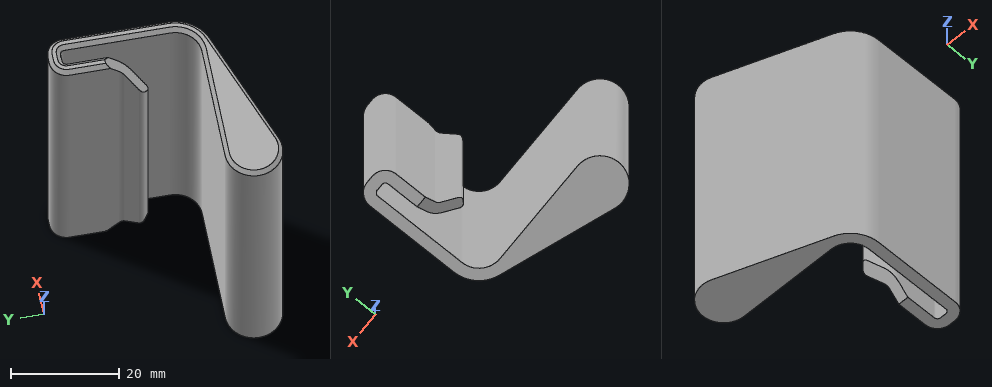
import cadquery as cq
import math

overall_width = 35.47
overall_depth = 39.01
height = 60.0

wall = 2.4
nose_radius = 5.4
bend_inner_radius = 5.0
rim_chamfer = 0.8

hook_gap = 3.0
hook_inner_radius = 0.8

lip_bend_radius = 1.4
lip_bend_y = 26.5
lip_length = 4.0
lip_tip_radius = 0.8
lip_corner_cut = 7.9

bend_outer_radius = bend_inner_radius + wall
hook_outer_radius = hook_inner_radius + wall
lip_bend_outer_radius = lip_bend_radius + wall

wall_inner_x = overall_width - wall
arm_inner_x = wall_inner_x - hook_gap
arm_outer_x = arm_inner_x - wall
handle_top_y = 2 * nose_radius
hook_inner_y = overall_depth - wall
hook_arc_y = overall_depth - hook_outer_radius

nose_center = (nose_radius, nose_radius)
bend_center = (overall_width - bend_outer_radius, handle_top_y + bend_inner_radius)
lip_center = (arm_outer_x - lip_bend_radius, lip_bend_y)
hook_left_center = (arm_outer_x + hook_outer_radius, hook_arc_y)
hook_right_center = (overall_width - hook_outer_radius, hook_arc_y)

center_dx = bend_center[0] - nose_center[0]
center_dy = bend_center[1] - nose_center[1]
radius_growth = bend_outer_radius - nose_radius
underside_angle = math.degrees(
    math.atan2(center_dy, center_dx) - math.asin(radius_growth / math.hypot(center_dx, center_dy))
)
underside_normal = underside_angle - 90
lip_angle = -45


def on_circle(center, radius, angle):
    """Point on a circle at an angle in degrees from +X."""
    return (
        center[0] + radius * math.cos(math.radians(angle)),
        center[1] + radius * math.sin(math.radians(angle)),
    )


def arc(sketch, center, radius, start, end):
    """Continue the outline along a circle from the start angle to the end angle."""
    return sketch.threePointArc(
        on_circle(center, radius, (start + end) / 2),
        on_circle(center, radius, end),
    )


def lip_end(radius):
    """Square lip corner on the side that bends at the given radius."""
    start = on_circle(lip_center, radius, lip_angle)
    return on_circle(start, lip_length, lip_angle - 90)


lip_inner_corner = lip_end(lip_bend_outer_radius)
lip_outer_corner = lip_end(lip_bend_radius)


def clip_body():
    """Constant section: teardrop handle, wall, hook and square-ended lip."""
    outline = cq.Workplane("XY").moveTo(nose_center[0], handle_top_y)
    outline = arc(outline, nose_center, nose_radius, 90, 360 + underside_normal)
    outline = outline.lineTo(*on_circle(bend_center, bend_outer_radius, underside_normal))
    outline = arc(outline, bend_center, bend_outer_radius, underside_normal, 0)
    outline = outline.lineTo(overall_width, hook_arc_y)
    outline = arc(outline, hook_right_center, hook_outer_radius, 0, 90)
    outline = outline.lineTo(hook_left_center[0], overall_depth)
    outline = arc(outline, hook_left_center, hook_outer_radius, 90, 180)
    outline = outline.lineTo(arm_outer_x, lip_bend_y)
    outline = arc(outline, lip_center, lip_bend_radius, 0, lip_angle)
    outline = outline.lineTo(*lip_outer_corner).lineTo(*lip_inner_corner)
    outline = outline.lineTo(*on_circle(lip_center, lip_bend_outer_radius, lip_angle))
    outline = arc(outline, lip_center, lip_bend_outer_radius, lip_angle, 0)
    outline = outline.lineTo(arm_inner_x, hook_arc_y)
    outline = arc(outline, hook_left_center, hook_inner_radius, 180, 90)
    outline = outline.lineTo(hook_right_center[0], hook_inner_y)
    outline = arc(outline, hook_right_center, hook_inner_radius, 90, 0)
    outline = outline.lineTo(wall_inner_x, bend_center[1])
    outline = arc(outline, bend_center, bend_inner_radius, 0, -90)
    return outline.close().extrude(height)


def lip_corner(z_end, z_direction):
    """Triangular prism that takes a 45 degree corner off the lip; z_direction points to mid-height."""
    tip_y = lip_inner_corner[1]
    start_x = lip_outer_corner[0]
    end_x = arm_inner_x + hook_gap / 2
    return (
        cq.Workplane("YZ", origin=(start_x, 0, 0))
        .moveTo(tip_y, z_end)
        .lineTo(tip_y + lip_corner_cut, z_end)
        .lineTo(tip_y, z_end + z_direction * lip_corner_cut)
        .close()
        .extrude(end_x - start_x)
    )


def round_lip_tip(body):
    """Round the two upright edges at the end of the lip."""
    for x, y in (lip_outer_corner, lip_inner_corner):
        corner_edge = cq.selectors.NearestToPointSelector((x, y, height / 2))
        body = body.edges("|Z").edges(corner_edge).fillet(lip_tip_radius)
    return body


result = clip_body().faces(">Z").edges().chamfer(rim_chamfer)
result = result.cut(lip_corner(height, -1)).cut(lip_corner(0, 1))
result = round_lip_tip(result)